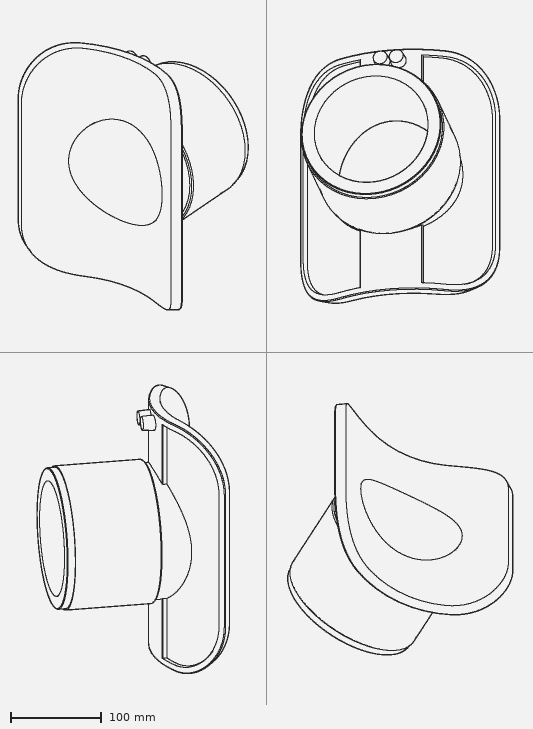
import cadquery as cq
import math

height = 290.0
width = 224.0
inner_radius = 125.0
outer_radius = 137.5
corner_radius = 67.5
rim_chamfer = 1.2
end_angle = math.asin(width / 2 / math.hypot(outer_radius, rim_chamfer)) + math.atan(rim_chamfer / outer_radius)

border = 7.5
recess_depth = 5.0
strip_width = 70.8
strip_chamfer = 1.0
floor_radius = outer_radius - recess_depth

total_depth = 178.0
pipe_end = inner_radius * math.cos(end_angle) + total_depth
bore_diameter = 128.0
neck_diameter = 152.0
neck_overlap = 3.0
sleeve_diameter = 160.0
sleeve_start = 142.7
tip_diameter = 157.0
tip_length = 9.0
sleeve_chamfer = 1.5
tip_chamfer = 1.0

pin_tip_diameter = 15.7
pin_root_diameter = 17.5
pin_spacing = 18.0
pin_height = 130.8
pin_projection = 12.8
pin_sink = 3.0


def end_trim(side, inset):
    """Prism bounded by the end face at side (+1 or -1), with corners rounded along the end face."""
    reach = 2 * outer_radius
    radial = (side * math.sin(end_angle), math.cos(end_angle), 0)
    inward = (-side * math.cos(end_angle), math.sin(end_angle), 0)
    half_height = height / 2 - inset
    corner = corner_radius - inset
    bulge = corner * (1 - math.sqrt(0.5))
    straight = half_height - corner
    return (
        cq.Workplane(cq.Plane(origin=(0, 0, 0), xDir=inward, normal=radial))
        .moveTo(inset, -straight)
        .lineTo(inset, straight)
        .threePointArc((inset + bulge, half_height - bulge), (inset + corner, half_height))
        .lineTo(reach, half_height)
        .lineTo(reach, -half_height)
        .lineTo(inset + corner, -half_height)
        .threePointArc((inset + bulge, bulge - half_height), (inset, -straight))
        .close()
        .extrude(reach, both=True)
    )


def saddle(small_radius, large_radius, inset):
    """Round-cornered tube sector, its boundary moved inwards by inset."""
    tube = cq.Workplane("XY").circle(large_radius).circle(small_radius).extrude(height / 2, both=True)
    return tube.intersect(end_trim(1, inset)).intersect(end_trim(-1, inset))


def rod(diameter, start, end):
    """Round bar along the Y axis between two Y positions."""
    plane = cq.Plane(origin=(0, start, 0), xDir=(1, 0, 0), normal=(0, 1, 0))
    return cq.Workplane(plane).circle(diameter / 2).extrude(end - start)


def make_plate():
    plate = saddle(inner_radius, outer_radius, 0)
    on_outer_face = cq.selectors.NearestToPointSelector((0, outer_radius, 0))
    return plate.faces(on_outer_face).edges().chamfer(rim_chamfer)


def make_recesses():
    half_width = strip_width / 2
    edge_y = math.sqrt(outer_radius**2 - half_width**2)
    strip = (
        cq.Workplane("XY")
        .polyline([
            (-half_width, 0),
            (half_width, 0),
            (half_width, edge_y - strip_chamfer),
            (half_width - 2 * strip_chamfer, edge_y + strip_chamfer),
            (half_width - 2 * strip_chamfer, 2 * outer_radius),
            (2 * strip_chamfer - half_width, 2 * outer_radius),
            (2 * strip_chamfer - half_width, edge_y + strip_chamfer),
            (-half_width, edge_y - strip_chamfer),
        ])
        .close()
        .extrude(height / 2, both=True)
    )
    return saddle(floor_radius, outer_radius + recess_depth, border).cut(strip)


def make_branch():
    tip_start = pipe_end - tip_length
    neck = rod(neck_diameter, 0, sleeve_start)
    sleeve = rod(sleeve_diameter, sleeve_start, tip_start).faces("<Y").chamfer(sleeve_chamfer)
    tip = rod(tip_diameter, tip_start, pipe_end).faces(">Y").chamfer(tip_chamfer)
    inside = cq.Workplane("XY").circle(inner_radius + neck_overlap).extrude(height / 2, both=True)
    return neck.cut(inside).union(sleeve).union(tip)


def make_pins():
    pins = cq.Workplane("XY")
    root = outer_radius - pin_sink
    for x in (-pin_spacing / 2, pin_spacing / 2):
        pin = cq.Solid.makeCone(
            pin_root_diameter / 2,
            pin_tip_diameter / 2,
            pin_sink + pin_projection,
            cq.Vector(x, root, pin_height),
            cq.Vector(0, 1, 0),
        )
        pins = pins.add(pin)
    return pins.combine()


body = make_plate().cut(make_recesses()).union(make_branch()).union(make_pins())
result = body.cut(rod(bore_diameter, 0, pipe_end))